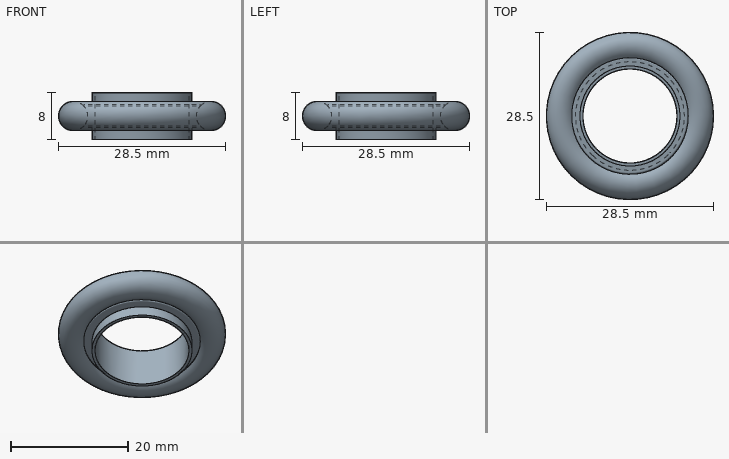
import cadquery as cq

outer_diameter = 28.5
cord_diameter = 5.0
ring_height = 8.0

bore_diameter = 16.0
tube_diameter = 17.05
band_diameter = 19.86
band_height = 4.0
band_edge_radius = 0.25

cord_radius = cord_diameter / 2
cord_center_radius = outer_diameter / 2 - cord_radius


def make_seal_cord():
    """Plain round cord swept around the Z axis."""
    return (
        cq.Workplane("XZ")
        .center(cord_center_radius, 0)
        .circle(cord_radius)
        .revolve(360, (-cord_center_radius, 0), (-cord_center_radius, 1))
    )


def make_disc(diameter, height):
    """Solid disc on the Z axis, centred on the XY plane."""
    return cq.Workplane("XY").workplane(offset=-height / 2).circle(diameter / 2).extrude(height)


def make_centering_ring(seal_cord):
    """Thin tube with a wider, round-edged middle band, grooved to seat the cord."""
    tube = make_disc(tube_diameter, ring_height)
    band = make_disc(band_diameter, band_height).edges().fillet(band_edge_radius)
    bore = make_disc(bore_diameter, ring_height)
    return tube.union(band).cut(bore).cut(seal_cord)


seal_cord = make_seal_cord()
centering_ring = make_centering_ring(seal_cord)

result = cq.Compound.makeCompound([centering_ring.solids().val(), seal_cord.val()])